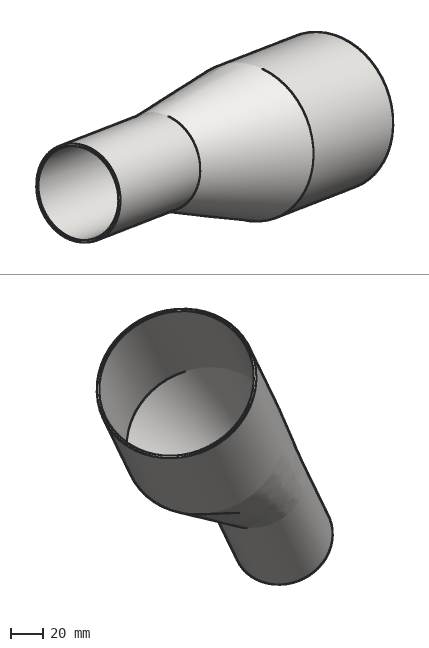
import cadquery as cq

large_diameter = 101.6
small_diameter = 63.5
wall = 1.65
tube_length = 88.9
cone_length = 69.85

eccentricity = (large_diameter - small_diameter) / 2

small_end = 0.0
cone_start = small_end + tube_length
cone_end = cone_start + cone_length
large_end = cone_end + tube_length


def section(y, x_center, diameter):
    """Circular wire facing +Y, centred at (x_center, y, 0)."""
    return cq.Wire.makeCircle(diameter / 2, cq.Vector(x_center, y, 0), cq.Vector(0, 1, 0))


def reducer_body(inset):
    """Solid reducer whose surface lies the given inset inside the outer surface."""
    small = small_diameter - 2 * inset
    large = large_diameter - 2 * inset
    stations = [
        section(small_end, -eccentricity, small),
        section(cone_start, -eccentricity, small),
        section(cone_end, 0, large),
        section(large_end, 0, large),
    ]
    return cq.Workplane(cq.Solid.makeLoft(stations, True))


outer_body = reducer_body(0)
bore = reducer_body(wall)

result = outer_body.cut(bore)